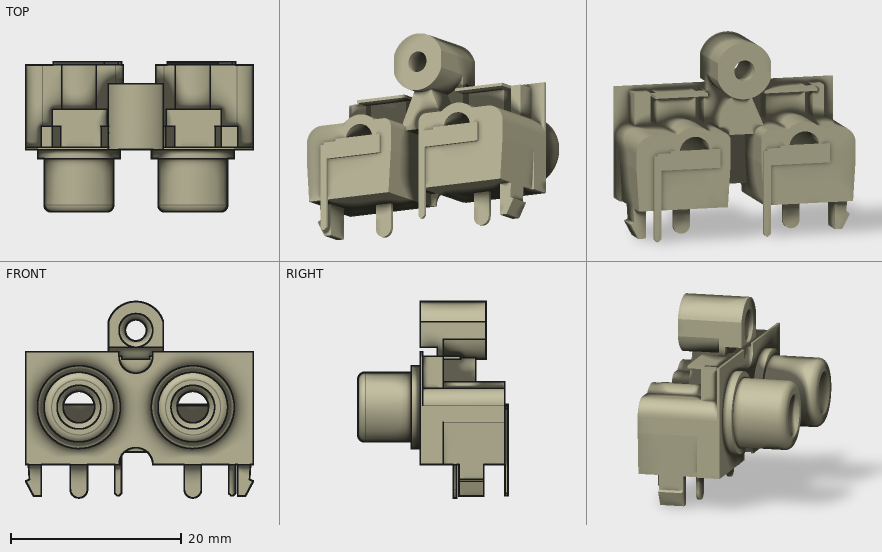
import cadquery as cq

OVERLAP = 0.13

plate_left, plate_right = -12.97, 13.83
plate_height = 13.3
plate_thickness = 0.3
notch_radius = 1.98
top_notch_z = 12.73
recess_back = 0.9

middle_x = (plate_left + plate_right) / 2
housing_back = 10.0
housing_top = 8.95
half_width = 11.5
outer_round, inner_round = 1.98, 0.96
frame_back = 2.75
bridge_bottom = 1.47
draft_top, draft_inset = 4.98, 0.32

frame_top = 12.75
tab_thickness = 0.35
tab_back = 4.77
tab_left, tab_right = 3.1, 3.35
neck_left, neck_right = 2.15, 2.63
outer_block_inset = 1.82
center_block_right = 3.5

socket_spacing = 13.4
socket_xs = (-socket_spacing / 2, socket_spacing / 2)
socket_z = 6.75
flange_radius, flange_length = 4.88, 1.05
barrel_radius, barrel_length = 4.1, 7.32
barrel_round = 0.85
bore_radius, bore_mouth_radius = 1.85, 2.57
bore_mouth_depth = 1.15
ridge_radius = 3.0

post_z = 15.79
post_radius, post_half_width = 3.4, 3.25
post_length = 7.77
post_foot_z = 13.78
web_front = 2.0
web_groove_half_width = 1.65
screw_radius, screw_mouth_radius = 1.23, 1.98
screw_mouth_depth = 1.0
gusset_back = 6.57
gusset_top_z, gusset_top_half_width, gusset_half_width = 12.6, 1.13, 2.7

latch_front, latch_back = 4.58, 7.5
latch_bottom, barb_top, barb_tip = -3.73, -1.75, -1.95
latch_width, latch_bottom_inset = 1.85, 0.95

ground_pin_radius = 1.02
ground_pin_front, ground_pin_back = 3.89, 4.35
ground_pin_bottom = -3.95
contact_back = housing_back + 0.38
contact_left, contact_right = 3.03, 5.05
contact_bottom, contact_top = 4.82, 7.08
contact_step_xs = (3.0, 4.64)
contact_step = 0.27
contact_bevel_height, contact_bevel_depth = 0.25, 0.2
contact_pin_width, contact_pin_bottom, contact_pin_chamfer = 0.83, -3.7, 0.32


def block(x0, x1, y0, y1, z0, z1):
    return cq.Workplane("XY").box(x1 - x0, y1 - y0, z1 - z0, centered=False).translate((x0, y0, z0))


def rod(x, z, radius, y0, y1):
    return cq.Workplane("XZ", origin=(x, y0, z)).circle(radius).extrude(y0 - y1)


def prism(points, y0, y1):
    """Extrude an outline of (x, z) points from y0 back to y1."""
    return cq.Workplane("XZ", origin=(0, y0, 0)).polyline(points).close().extrude(y0 - y1)


def mouth(x, y, z, outer_radius, inner_radius, depth):
    """Conical mouth of a hole that opens at y and narrows toward +Y."""
    cone = cq.Solid.makeCone(outer_radius, inner_radius, depth, cq.Vector(x, y, z), cq.Vector(0, 1, 0))
    return cq.Workplane(cone)


def mirrored(shape):
    """The same shape on the other side of the housing's middle plane."""
    return shape.mirror("YZ", (middle_x, 0, 0))


def make_half_housing():
    """Left half of the housing, with drafted side walls and a latch below the outer one."""
    half = block(plate_left, plate_left + half_width, plate_thickness, housing_back, 0, housing_top)
    half = half.edges("|Y and >Z and <X").fillet(outer_round)
    half = half.edges("|Y and >Z and >X").fillet(inner_round)
    stem_inset = draft_inset * (draft_top - barb_top) / draft_top
    outer_wedge = prism(
        [(plate_left, draft_top), (plate_left, 0), (plate_left + draft_inset, 0)],
        frame_back,
        housing_back,
    )
    inner_wall = plate_left + half_width
    inner_wedge = prism(
        [(inner_wall, draft_top), (inner_wall, 0), (inner_wall - draft_inset, 0)],
        plate_thickness,
        housing_back,
    )
    latch = prism(
        [
            (plate_left + draft_inset, 0),
            (plate_left + stem_inset, barb_top),
            (plate_left, barb_tip),
            (plate_left + latch_bottom_inset, latch_bottom),
            (plate_left + latch_width, latch_bottom),
            (plate_left + latch_width, OVERLAP),
            (plate_left + draft_inset, OVERLAP),
        ],
        latch_front,
        latch_back,
    )
    return half.cut(outer_wedge).cut(inner_wedge).union(latch)


def make_frame_block(x0, x1, bottom):
    """Block on top of the frame, rooted in the housing at the height bottom."""
    return block(x0, x1, plate_thickness, frame_back, bottom, frame_top)


def make_top_tab(x):
    """Neck rising from the housing with a thin T-shaped tab overhanging to the rear."""
    neck = make_frame_block(x - neck_left, x + neck_right, socket_z)
    wing = block(x - tab_left, x + tab_right, frame_back, tab_back, frame_top - tab_thickness, frame_top)
    return neck.union(wing)


def make_center():
    """Bridge between the halves, the block above it and the gusset under the post."""
    bridge = block(
        plate_left + half_width - 2 * draft_inset,
        plate_right - half_width + 2 * draft_inset,
        plate_thickness,
        frame_back,
        bridge_bottom,
        housing_top,
    )
    upper_block = make_frame_block(-post_half_width, center_block_right, housing_top - inner_round)
    gusset = prism(
        [
            (-gusset_half_width, housing_top - inner_round),
            (-gusset_half_width, housing_top),
            (-gusset_top_half_width, gusset_top_z),
            (gusset_top_half_width, gusset_top_z),
            (gusset_half_width, housing_top),
            (gusset_half_width, housing_top - inner_round),
        ],
        frame_back,
        gusset_back,
    )
    return bridge.union(upper_block).union(gusset)


def make_post():
    """Flat-sided screw post with a foot that stands on the center block."""
    flats = block(
        -post_half_width, post_half_width, 0, post_length, post_z - post_radius, post_z + post_radius
    )
    post = rod(0, post_z, post_radius, 0, post_length).intersect(flats)
    foot = block(-post_half_width, post_half_width, 0, frame_back, post_foot_z, post_z)
    web = block(-post_half_width, post_half_width, web_front, frame_back, frame_top - OVERLAP, post_z)
    below_foot = block(
        -post_half_width, post_half_width, 0, web_front, post_z - post_radius, post_foot_z
    )
    return post.union(foot).cut(below_foot).union(web)


def make_plate():
    plate = block(plate_left, plate_right, 0, plate_thickness, 0, plate_height)
    top_notch = rod(0, top_notch_z, notch_radius, 0, plate_thickness).union(
        block(-notch_radius, notch_radius, 0, plate_thickness, top_notch_z, plate_height)
    )
    bottom_notch = rod(0, 0, notch_radius, 0, plate_thickness)
    return plate.cut(top_notch).cut(bottom_notch)


def make_socket(x):
    """Flange and round-nosed barrel in front, ridge along the housing behind."""
    flange = rod(x, socket_z, flange_radius, -flange_length, plate_thickness)
    barrel = rod(x, socket_z, barrel_radius, -barrel_length, 0).faces("<Y").edges().fillet(barrel_round)
    ridge = rod(x, socket_z, ridge_radius, plate_thickness, housing_back)
    return flange.union(barrel).union(ridge)


def make_ground_pin(x):
    center_z = ground_pin_bottom + ground_pin_radius
    shank = block(
        x - ground_pin_radius, x + ground_pin_radius, ground_pin_front, ground_pin_back, center_z, OVERLAP
    )
    return shank.union(rod(x, center_z, ground_pin_radius, ground_pin_front, ground_pin_back))


def make_contact(x, beveled):
    """Rear contact strip that steps down to a narrow pin on its right."""
    pin_left, pin_right = x + contact_right - contact_pin_width, x + contact_right
    step_1, step_2 = (x + step_x for step_x in contact_step_xs)
    outline = [
        (x - contact_left, contact_bottom),
        (x - contact_left, contact_top),
        (step_1, contact_top),
        (step_1, contact_top - contact_step),
        (step_2, contact_top - contact_step),
        (step_2, contact_top - 2 * contact_step),
        (pin_right, contact_top - 2 * contact_step),
        (pin_right, contact_pin_bottom + contact_pin_chamfer),
        (pin_right - contact_pin_chamfer, contact_pin_bottom),
        (pin_left + contact_pin_chamfer, contact_pin_bottom),
        (pin_left, contact_pin_bottom + contact_pin_chamfer),
        (pin_left, contact_bottom),
    ]
    contact = prism(outline, housing_back, contact_back)
    if beveled:
        contact = contact.faces(">Z").edges("<Y").chamfer(contact_bevel_height, contact_bevel_depth)
    return contact


half_housing = make_half_housing()
result = half_housing.union(mirrored(half_housing)).union(make_center()).union(make_plate())

block_root = housing_top - outer_round
result = result.union(
    make_frame_block(plate_left + outer_block_inset, socket_xs[0] - tab_left, block_root)
)
result = result.union(
    make_frame_block(socket_xs[1] + tab_right, plate_right - outer_block_inset, block_root)
)

recess = rod(0, top_notch_z, notch_radius, plate_thickness, recess_back)
web_groove = block(
    -web_groove_half_width,
    web_groove_half_width,
    plate_thickness,
    web_front,
    frame_top - tab_thickness,
    frame_top,
)
result = result.cut(recess).cut(web_groove).union(make_post())

for socket_x in socket_xs:
    result = result.union(make_top_tab(socket_x)).union(make_socket(socket_x))
    result = result.union(make_ground_pin(socket_x)).union(make_contact(socket_x, socket_x > 0))

for socket_x in socket_xs:
    result = result.cut(rod(socket_x, socket_z, bore_radius, -barrel_length, housing_back))
    result = result.cut(
        mouth(socket_x, -barrel_length, socket_z, bore_mouth_radius, bore_radius, bore_mouth_depth)
    )

result = result.cut(rod(0, post_z, screw_radius, 0, post_length))
result = result.cut(mouth(0, 0, post_z, screw_mouth_radius, screw_radius, screw_mouth_depth))